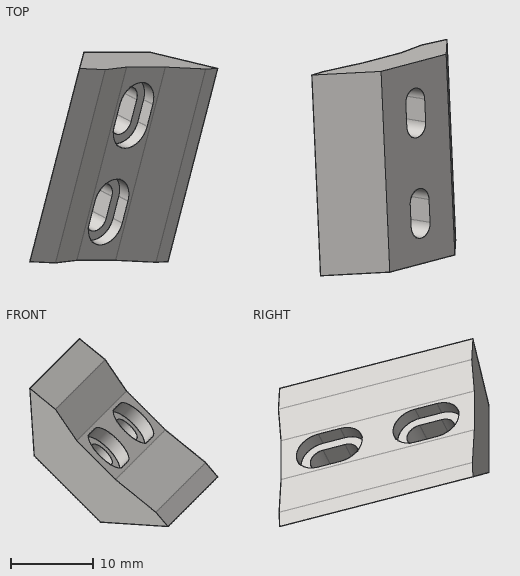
import cadquery as cq
import math

length = 25.0
tilt_angle = 20.0
roll_angle = 45.0

back_depth = 5.28
back_half_width = 5.7
full_half_width = 11.88
edge_rise = 0.49
slotted_half_width = 3.33
left_ridge_offset = 7.85
left_ridge_rise = 0.92
right_ridge_offset = 9.6
right_ridge_rise = 0.7

slot_spacing = length / 2
slot_straight = 2.85
slot_width = 3.3
counterbore_width = 5.65
counterbore_depth = 1.7

tilt = math.radians(tilt_angle)
roll = math.radians(roll_angle)
across = cq.Vector(-math.cos(roll), 0, math.sin(roll))
bar_axis = cq.Vector(
    math.sin(tilt) * math.sin(roll),
    math.cos(tilt),
    math.sin(tilt) * math.cos(roll),
)
outward = bar_axis.cross(across)


def make_bar():
    """Extrude the profile evenly to both sides of the origin."""
    profile = [
        (full_half_width, edge_rise),
        (left_ridge_offset, left_ridge_rise),
        (slotted_half_width, 0),
        (-slotted_half_width, 0),
        (-right_ridge_offset, right_ridge_rise),
        (-full_half_width, edge_rise),
        (-back_half_width, -back_depth),
        (back_half_width, -back_depth),
    ]
    plane = cq.Plane(origin=(0, 0, 0), xDir=across, normal=bar_axis)
    return cq.Workplane(plane).polyline(profile).close().extrude(length / 2, both=True)


def make_slots(width, depth):
    """Slot-shaped cutters sunk from the flat face; both widths share end centres."""
    plane = cq.Plane(origin=(0, 0, 0), xDir=bar_axis, normal=outward)
    centres = [(-slot_spacing / 2, 0), (slot_spacing / 2, 0)]
    return (
        cq.Workplane(plane)
        .pushPoints(centres)
        .slot2D(slot_straight + width, width)
        .extrude(-depth)
    )


through_slots = make_slots(slot_width, back_depth)
counterbores = make_slots(counterbore_width, counterbore_depth)
result = make_bar().cut(through_slots).cut(counterbores)